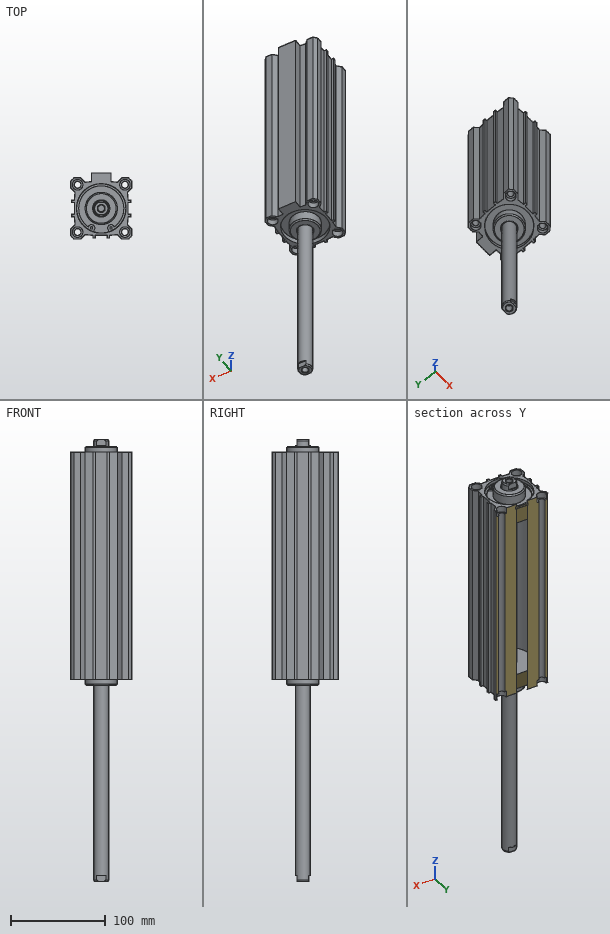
import cadquery as cq

TOTAL_LENGTH = 466.5
BARREL_WIDTH = 65.0
OVERALL_DEPTH = 70.0
BARREL_LENGTH = 240.0
TOP_REACH = 13.5

RIB_ROOT = 28.5
EAR_FLAT = 7.0
EAR_CHAMFER = 3.5
EAR_HEIGHT = 4.5
RIB_SPACING = 15.0
RIB_WIDTH = 3.0
RIB_TIP = 31.3
BLOCK_WIDTH = 21.0

BOLT_SPACING = 50.0
BOLT_HOLE_DIAMETER = 7.0
COUNTERBORE_DIAMETER = 11.0
COUNTERBORE_DEPTH = 7.0

BORE_DIAMETER = 52.0
GROOVE_DIAMETER = 52.2
COVER_RECESS = 5.5
COVER_THICKNESS = 18.5
COLLAR_DIAMETER = 34.0
COLLAR_REACH = 6.0
COLLAR_CHAMFER = 1.5
WIPER_DIAMETER = 18.0
WIPER_DEPTH = 2.5
RING_THICKNESS = 2.0
RING_INNER_DIAMETER = 47.5
RING_GAP = 15.0
LUG_SPACING = 20.5
LUG_Y = -20.5
LUG_DIAMETER = 7.0
LUG_HOLE_DIAMETER = 2.5

ROD_DIAMETER = 16.0
ROD_CHAMFER_LENGTH = 2.0
ROD_CHAMFER_INSET = 1.0
WRENCH_FLAT_WIDTH = 12.5
WRENCH_FLAT_LENGTH = 6.5
THREAD_HOLE_DIAMETER = 7.0
THREAD_MOUTH_DIAMETER = 8.5
THREAD_HOLE_DEPTH = 14.0

ROD_TOP = TOTAL_LENGTH / 2
ROD_BOTTOM = -TOTAL_LENGTH / 2
BARREL_TOP = ROD_TOP - TOP_REACH
BARREL_BOTTOM = BARREL_TOP - BARREL_LENGTH
BARREL_MIDDLE = (BARREL_TOP + BARREL_BOTTOM) / 2
FLANGE_TOP = BARREL_TOP - COVER_RECESS
FLANGE_BOTTOM = FLANGE_TOP - COVER_THICKNESS
RING_TOP = FLANGE_TOP + RING_THICKNESS


def cylinder(diameter, bottom, top, x=0, y=0):
    base = cq.Workplane("XY").workplane(offset=bottom)
    return base.center(x, y).circle(diameter / 2).extrude(top - bottom)


def block(x_range, y_range, z_range):
    (x0, x1), (y0, y1), (z0, z1) = x_range, y_range, z_range
    return cq.Workplane("XY").box(x1 - x0, y1 - y0, z1 - z0, centered=False).translate((x0, y0, z0))


def barrel_outline():
    """Corner-eared square: one side's points, turned to the four sides."""
    outer = BARREL_WIDTH / 2
    ear_end = outer - EAR_CHAMFER
    ear_start = ear_end - EAR_FLAT
    flank_foot = ear_start - EAR_HEIGHT
    rib_edge = (RIB_SPACING + RIB_WIDTH) / 2
    half_side = [(rib_edge, RIB_ROOT), (flank_foot, outer - EAR_HEIGHT), (ear_start, outer), (ear_end, outer)]
    side = [(-along, -out) for along, out in reversed(half_side)]
    side += [(along, -out) for along, out in half_side]
    points = []
    for _ in range(4):
        points += side
        side = [(-y, x) for x, y in side]
    return points


def make_barrel():
    length = (BARREL_BOTTOM, BARREL_TOP)
    barrel = cq.Workplane("XY").workplane(offset=BARREL_BOTTOM).polyline(barrel_outline()).close()
    barrel = barrel.extrude(BARREL_LENGTH)

    for middle in (-RIB_SPACING / 2, RIB_SPACING / 2):
        rib = (middle - RIB_WIDTH / 2, middle + RIB_WIDTH / 2)
        barrel = barrel.union(block((-RIB_TIP, RIB_TIP), rib, length))
        barrel = barrel.union(block(rib, (-RIB_TIP, 0), length))
    block_end = OVERALL_DEPTH - BARREL_WIDTH / 2
    barrel = barrel.union(block((-BLOCK_WIDTH / 2, BLOCK_WIDTH / 2), (0, block_end), length))

    barrel = barrel.cut(cylinder(BORE_DIAMETER, *length))
    barrel = barrel.cut(cylinder(GROOVE_DIAMETER, FLANGE_TOP, RING_TOP))

    for x in (-BOLT_SPACING / 2, BOLT_SPACING / 2):
        for y in (-BOLT_SPACING / 2, BOLT_SPACING / 2):
            barrel = barrel.cut(cylinder(BOLT_HOLE_DIAMETER, *length, x, y))
            top_floor = BARREL_TOP - COUNTERBORE_DEPTH
            bottom_floor = BARREL_BOTTOM + COUNTERBORE_DEPTH
            barrel = barrel.cut(cylinder(COUNTERBORE_DIAMETER, top_floor, BARREL_TOP, x, y))
            barrel = barrel.cut(cylinder(COUNTERBORE_DIAMETER, BARREL_BOTTOM, bottom_floor, x, y))
    return barrel


def make_top_cover():
    collar_top = BARREL_TOP + COLLAR_REACH
    collar = cylinder(COLLAR_DIAMETER, FLANGE_TOP, collar_top).faces(">Z").chamfer(COLLAR_CHAMFER)
    cover = cylinder(BORE_DIAMETER, FLANGE_BOTTOM, FLANGE_TOP).union(collar)
    cover = cover.cut(cylinder(ROD_DIAMETER, FLANGE_BOTTOM, collar_top))
    return cover.cut(cylinder(WIPER_DIAMETER, collar_top - WIPER_DEPTH, collar_top))


def make_retaining_ring():
    levels = (FLANGE_TOP, RING_TOP)
    ring = cylinder(GROOVE_DIAMETER, *levels).cut(cylinder(RING_INNER_DIAMETER, *levels))
    gap = (-RING_GAP / 2, RING_GAP / 2)
    ring = ring.cut(block(gap, (-GROOVE_DIAMETER, 0), levels))
    for x in (-LUG_SPACING / 2, LUG_SPACING / 2):
        ring = ring.union(cylinder(LUG_DIAMETER, *levels, x, LUG_Y))
        ring = ring.cut(cylinder(LUG_HOLE_DIAMETER, *levels, x, LUG_Y))
    return ring.intersect(cylinder(GROOVE_DIAMETER, *levels))


def make_rod():
    """The two rod ends are alike, so the end tooling is made once and mirrored."""
    rod = cylinder(ROD_DIAMETER, ROD_BOTTOM, ROD_TOP)
    rod = rod.faces("<Z or >Z").chamfer(ROD_CHAMFER_LENGTH, ROD_CHAMFER_INSET)

    flat_levels = (ROD_TOP - WRENCH_FLAT_LENGTH, ROD_TOP)
    across = (-ROD_DIAMETER, ROD_DIAMETER)
    end_cut = block(across, across, flat_levels)
    end_cut = end_cut.cut(block(across, (-WRENCH_FLAT_WIDTH / 2, WRENCH_FLAT_WIDTH / 2), flat_levels))

    mouth_depth = (THREAD_MOUTH_DIAMETER - THREAD_HOLE_DIAMETER) / 2
    mouth = cq.Workplane("XY").workplane(offset=ROD_TOP).circle(THREAD_MOUTH_DIAMETER / 2)
    mouth = mouth.workplane(offset=-mouth_depth).circle(THREAD_HOLE_DIAMETER / 2).loft()
    thread_hole = cylinder(THREAD_HOLE_DIAMETER, ROD_TOP - THREAD_HOLE_DEPTH, ROD_TOP)

    for cutter in (end_cut, thread_hole, mouth):
        rod = rod.cut(cutter).cut(cutter.mirror("XY"))
    return rod


barrel = make_barrel()
top_cover = make_top_cover()
bottom_cover = top_cover.mirror("XY", (0, 0, BARREL_MIDDLE))
retaining_ring = make_retaining_ring()
rod = make_rod()

result = cq.Compound.makeCompound(
    [barrel.val(), top_cover.val(), bottom_cover.val(), retaining_ring.val(), rod.val()]
)